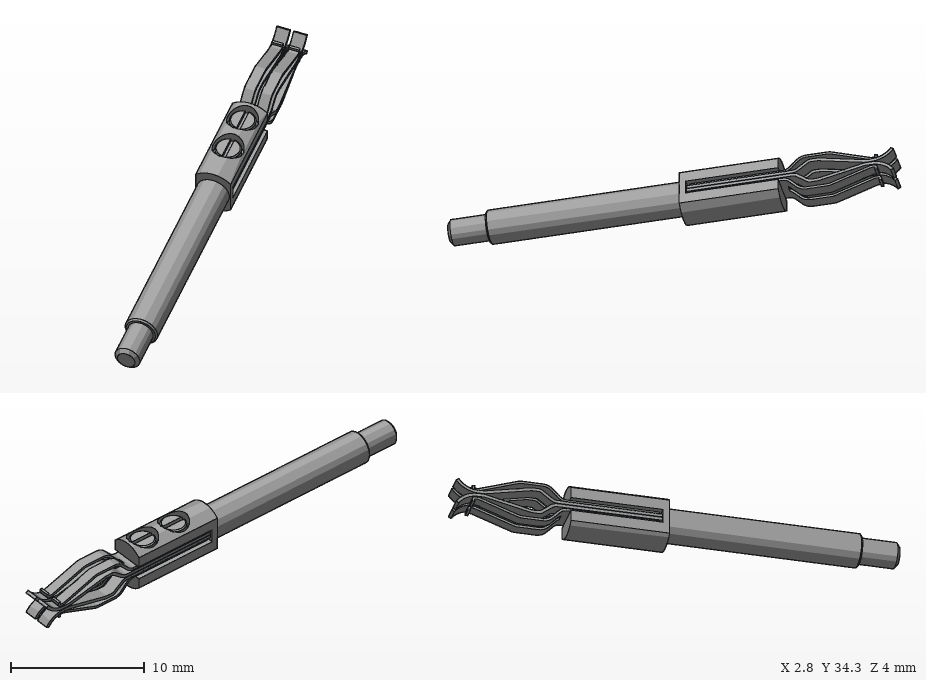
import cadquery as cq
import math


PIN_DIAMETER = 2.0
PIN_LENGTH = 3.0
PIN_TIP_DIAMETER = 1.4
PIN_TIP_LENGTH = 0.25
BARREL_DIAMETER = 2.6
BARREL_LENGTH = 14.95
BARREL_CHAMFER = 0.13

BODY_DIAMETER = 4.0
BODY_WIDTH = 2.8
BODY_LENGTH = 7.6
BODY_START = PIN_LENGTH + BARREL_LENGTH
BODY_END = BODY_START + BODY_LENGTH

SLOT_HEIGHT = 1.1
SLOT_WALL = 0.5
SLOT_START = BODY_START + SLOT_WALL

SCREW_INSET = 1.5
SCREW_PITCH = 3.0
SCREW_POSITIONS = (BODY_END - SCREW_INSET, BODY_END - SCREW_INSET - SCREW_PITCH)
SCREW_DIAMETER = 2.0
SCREW_TOP = 1.7
SCREW_CHAMFER = 0.1
DRIVER_SLOT_WIDTH = 0.3
DRIVER_SLOT_DEPTH = 0.3
RECESS_DIAMETER = 2.4
RECESS_FLOOR = 0.9

OVERALL_LENGTH = 34.35
FORK_START = 26.05
INNER_START = SLOT_START
INNER_THICKNESS = 0.25
INNER_GAP = 0.04
INNER_WIDTH = 2.4
INNER_FORK_GAP = 0.3
INNER_LEVEL = (INNER_GAP + INNER_THICKNESS) / 2
OUTER_START = SLOT_START + 0.2
OUTER_THICKNESS = 0.2
OUTER_WIDTH = 2.2
OUTER_FORK_GAP = 0.5
OUTER_LEVEL = INNER_GAP / 2 + INNER_THICKNESS + OUTER_THICKNESS / 2

INNER_BENDS = (
    (26.8, INNER_LEVEL, 0.8),
    (27.85, 0.95, 0.4),
    (28.55, 0.95, 0.8),
    (32.15, INNER_LEVEL, 1.0),
    (33.66, INNER_LEVEL, 1.93),
)
INNER_END = (34.247, 0.985)
OUTER_BENDS = (
    (26.13, OUTER_LEVEL, 0.77),
    (27.23, 1.5, 1.0),
    (29.4, 1.5, 0.85),
    (32.6, OUTER_LEVEL, 0.3),
    (32.98, OUTER_LEVEL, 0.1),
)
OUTER_END = (32.98, 0.68)


def turned(diameter, start, length):
    """Round bar along Y."""
    plane = cq.Plane(origin=(0, start, 0), xDir=(1, 0, 0), normal=(0, 1, 0))
    return cq.Workplane(plane).circle(diameter / 2).extrude(length)


def make_pin():
    tip_step = (PIN_DIAMETER - PIN_TIP_DIAMETER) / 2
    pin = turned(PIN_DIAMETER, 0, PIN_LENGTH).faces("<Y").chamfer(PIN_TIP_LENGTH, tip_step)
    barrel = turned(BARREL_DIAMETER, PIN_LENGTH, BARREL_LENGTH).faces("<Y").chamfer(BARREL_CHAMFER)
    return pin.union(barrel)


def make_body():
    middle = BODY_START + BODY_LENGTH / 2
    flats = cq.Workplane().box(BODY_WIDTH, BODY_LENGTH, BODY_DIAMETER).translate((0, middle, 0))
    body = turned(BODY_DIAMETER, BODY_START, BODY_LENGTH).intersect(flats)
    slot_length = BODY_END - SLOT_START
    slot = cq.Workplane().box(BODY_WIDTH, slot_length, SLOT_HEIGHT)
    body = body.cut(slot.translate((0, SLOT_START + slot_length / 2, 0)))
    recesses = (
        cq.Workplane(origin=(0, 0, RECESS_FLOOR))
        .pushPoints([(0, y) for y in SCREW_POSITIONS])
        .circle(RECESS_DIAMETER / 2)
        .extrude(BODY_DIAMETER / 2)
    )
    return body.cut(recesses)


def make_screw(y):
    """Slotted screw head standing on the floor of its recess."""
    head = (
        cq.Workplane(origin=(0, y, RECESS_FLOOR))
        .circle(SCREW_DIAMETER / 2)
        .extrude(SCREW_TOP - RECESS_FLOOR)
        .faces(">Z")
        .chamfer(SCREW_CHAMFER)
    )
    driver_slot = cq.Workplane().box(DRIVER_SLOT_WIDTH, SCREW_DIAMETER, 2 * DRIVER_SLOT_DEPTH)
    return head.cut(driver_slot.translate((0, y, SCREW_TOP)))


def rounded_path(start, bends, end):
    """Line in the YZ plane from start to end, with an arc at every bend."""
    corners = [start] + [bend[:2] for bend in bends] + [end]
    path = cq.Workplane("YZ").moveTo(*start)
    for index, (y, z, radius) in enumerate(bends, start=1):
        corner = cq.Vector(y, z)
        back = (cq.Vector(*corners[index - 1]) - corner).normalized()
        ahead = (cq.Vector(*corners[index + 1]) - corner).normalized()
        half_angle = back.getAngle(ahead) / 2
        tangent = radius / math.tan(half_angle)
        arc_start = corner + back * tangent
        arc_end = corner + ahead * tangent
        corner_to_arc = radius / math.sin(half_angle) - radius
        arc_middle = corner + (back + ahead).normalized() * corner_to_arc
        path = path.lineTo(arc_start.x, arc_start.y)
        path = path.threePointArc((arc_middle.x, arc_middle.y), (arc_end.x, arc_end.y))
    return path.lineTo(*end)


def make_leaf(start, level, bends, end, width, thickness, fork_gap):
    """Upper leaf: a flat strip bent along its centre line and forked from FORK_START on."""
    path = rounded_path((start, level), bends, end)
    section = cq.Plane(origin=(0, start, level), xDir=(1, 0, 0), normal=(0, 1, 0))
    strip = cq.Workplane(section).rect(width, thickness).sweep(path)
    fork_length = OVERALL_LENGTH - FORK_START
    fork = cq.Workplane().box(fork_gap, fork_length, BODY_DIAMETER)
    return strip.cut(fork.translate((0, FORK_START + fork_length / 2, 0)))


inner_leaf = make_leaf(
    INNER_START, INNER_LEVEL, INNER_BENDS, INNER_END, INNER_WIDTH, INNER_THICKNESS, INNER_FORK_GAP
)
outer_leaf = make_leaf(
    OUTER_START, OUTER_LEVEL, OUTER_BENDS, OUTER_END, OUTER_WIDTH, OUTER_THICKNESS, OUTER_FORK_GAP
)
upper_leaves = inner_leaf.union(outer_leaf)
lower_leaves = upper_leaves.mirror("XY")

result = make_pin().union(make_body()).union(upper_leaves).union(lower_leaves)
for screw_y in SCREW_POSITIONS:
    result = result.union(make_screw(screw_y))